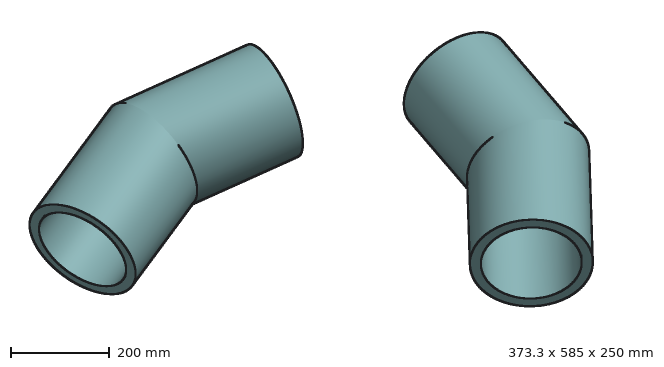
import cadquery as cq
import math

overall_length = 585.0
outer_diameter = 250.0
inner_diameter = 205.0
bend_angle = math.radians(30.0)

end_face_rise = outer_diameter / 2 * math.sin(bend_angle)
leg_length = (overall_length - end_face_rise) / (1 + math.cos(bend_angle))

joint = (0, leg_length)
far_end = (
    leg_length * math.sin(bend_angle),
    leg_length * (1 + math.cos(bend_angle)),
)
centreline = cq.Workplane("XY").polyline([(0, 0), joint, far_end])

wall_section = cq.Workplane("XZ").circle(outer_diameter / 2).circle(inner_diameter / 2)

result = wall_section.sweep(centreline, transition="right")